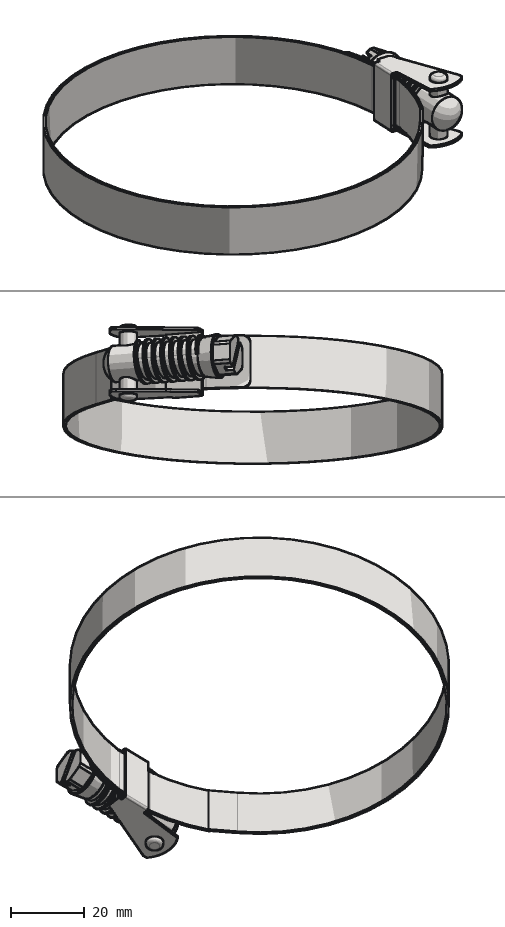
import cadquery as cq
import math


BAND_RADIUS = 51.5
BAND_WIDTH = 14.4
SHEET = 0.7
LAYER_GAP = 0.06
FLAT_DROP = 0.3
RISE_START_ANGLE = 55.0
RISE_END_ANGLE = 63.8
STEP_SPAN = 0.5
TAIL_ANGLE = 110.0
TAIL_CORNER_RADIUS = 2.1
FLAT_END_ANGLE = 90 + math.degrees(math.acos(1 - FLAT_DROP / BAND_RADIUS))
TAIL_RADIUS = BAND_RADIUS + LAYER_GAP + SHEET
INNER_FLAT_BOTTOM = BAND_RADIUS - SHEET - FLAT_DROP
TAIL_FLAT_TOP = TAIL_RADIUS - FLAT_DROP

BRACKET_WIDTH = 17.9
BASE_LENGTH = 8.1
BRIDGE_LENGTH = 10.2
BRIDGE_THICKNESS = 1.0
BASE_BEND_RADIUS = 0.64
ARM_FOOT_Y = 51.6
ARM_SHOULDER_Y = 55.8
ARM_SHOULDER_RADIUS = 1.2
ARM_TOP_START_X = 15.3
ARM_TOP_END_X = 16.6
ARM_TIP_X = 19.0
ARM_TIP_Y = 58.4
ARM_HEEL_X = 17.6
ARM_HEEL_Y = 53.0

SCREW_Y = 58.5
HEAD_START_X = -17.3
HEX_SIDES = 6
HEX_ACROSS_FLATS = 9.7
HEX_CORNER_DIAMETER = 10.7
SLOT_WIDTH = 1.3
SLOT_DEPTH = 2.2
SLOT_ANGLE = 120.0
FLANGE_START_X = -12.4
FLANGE_EDGE_CHAMFER = 0.2
FLANGE_END_X = -8.0
FLANGE_END_RADIUS = 5.3
SHANK_RADIUS = 5.0
SCREW_END_X = 20.9
DOME_RADIUS = 5.8
CREST_RADIUS = 6.0
THREAD_PITCH = 2.5
THREAD_TURNS = 7.2
CREST_WIDTH = 0.6
THREAD_BASE_WIDTH = 0.9
THREAD_EMBED = 0.1
ARM_TOP_Y = SCREW_Y + CREST_RADIUS

PIN_X = 14.0
PIN_RADIUS = 2.4
PIN_SPAN = 20.6
PIN_INNER_Z = 3.5
PIN_HEAD_ROUNDING = 1.0


def polar(radius, degrees):
    angle = math.radians(degrees)
    return (radius * math.cos(angle), radius * math.sin(angle))


def flat_end(radius):
    """Right-hand point where the flat stretch meets the round part of that radius."""
    height = radius - FLAT_DROP
    return (math.sqrt(radius**2 - height**2), height)


def mirrored(point):
    return (-point[0], point[1])


def make_band():
    """Strip outline: inner face from the hidden end to the tail, then the outer face back."""
    outer, inner = BAND_RADIUS, BAND_RADIUS - SHEET
    tail_outer, tail_inner = TAIL_RADIUS, TAIL_RADIUS - SHEET
    hidden_end_x = BASE_LENGTH / 2
    rise_angle = RISE_END_ANGLE - RISE_START_ANGLE
    rise_ratio = 1 / math.cos(math.radians(rise_angle))
    step_outer_angle = RISE_END_ANGLE - STEP_SPAN
    step_ratio = 1 / math.cos(math.radians(rise_angle - STEP_SPAN))
    tail_mid_angle = (TAIL_ANGLE + FLAT_END_ANGLE) / 2
    shoulder_mid_angle = (RISE_END_ANGLE + 90) / 2
    strip = (
        cq.Workplane("XY", origin=(0, 0, -BAND_WIDTH / 2))
        .moveTo(hidden_end_x, inner - FLAT_DROP)
        .lineTo(*mirrored(flat_end(inner)))
        .threePointArc((0, -inner), polar(inner, RISE_START_ANGLE))
        .lineTo(*polar(inner * rise_ratio, RISE_END_ANGLE))
        .lineTo(*polar(tail_inner, RISE_END_ANGLE))
        .threePointArc(polar(tail_inner, shoulder_mid_angle), flat_end(tail_inner))
        .lineTo(*mirrored(flat_end(tail_inner)))
        .threePointArc(polar(tail_inner, tail_mid_angle), polar(tail_inner, TAIL_ANGLE))
        .lineTo(*polar(tail_outer, TAIL_ANGLE))
        .threePointArc(polar(tail_outer, tail_mid_angle), mirrored(flat_end(tail_outer)))
        .lineTo(*flat_end(tail_outer))
        .threePointArc(polar(tail_outer, shoulder_mid_angle), polar(tail_outer, step_outer_angle))
        .lineTo(*polar(outer * step_ratio, step_outer_angle))
        .lineTo(*polar(outer, RISE_START_ANGLE))
        .threePointArc((0, -outer), mirrored(flat_end(outer)))
        .lineTo(hidden_end_x, outer - FLAT_DROP)
        .close()
        .extrude(BAND_WIDTH)
    )
    tail_x, tail_y = polar(tail_inner + SHEET / 2, TAIL_ANGLE)
    for z in (-BAND_WIDTH / 2, BAND_WIDTH / 2):
        tail_corner = cq.selectors.NearestToPointSelector((tail_x, tail_y, z))
        strip = strip.edges(tail_corner).fillet(TAIL_CORNER_RADIUS)
    return strip


def make_arm(bottom_z):
    shoulder = (-BRIDGE_LENGTH / 2, ARM_SHOULDER_Y, bottom_z + SHEET / 2)
    return (
        cq.Workplane("XY", origin=(0, 0, bottom_z))
        .moveTo(-BRIDGE_LENGTH / 2, ARM_FOOT_Y)
        .lineTo(-BRIDGE_LENGTH / 2, ARM_SHOULDER_Y)
        .lineTo(ARM_TOP_START_X, ARM_TOP_Y)
        .lineTo(ARM_TOP_END_X, ARM_TOP_Y)
        .threePointArc((ARM_TIP_X, ARM_TIP_Y), (ARM_HEEL_X, ARM_HEEL_Y))
        .lineTo(BASE_LENGTH / 2, ARM_FOOT_Y)
        .close()
        .extrude(SHEET)
        .edges(cq.selectors.NearestToPointSelector(shoulder))
        .fillet(ARM_SHOULDER_RADIUS)
    )


def make_bracket():
    inside_width = BRACKET_WIDTH - 2 * SHEET
    base_bottom = INNER_FLAT_BOTTOM - SHEET
    channel_height = ARM_FOOT_Y + SHEET - base_bottom
    channel = (
        cq.Workplane("XY")
        .box(BASE_LENGTH, channel_height, BRACKET_WIDTH, centered=(True, False, True))
        .edges("|X and <Y")
        .fillet(BASE_BEND_RADIUS)
        .translate((0, base_bottom, 0))
    )
    channel_inside = (
        cq.Workplane("XY")
        .box(BASE_LENGTH, channel_height, inside_width, centered=(True, False, True))
        .translate((0, INNER_FLAT_BOTTOM, 0))
    )
    bridge = (
        cq.Workplane("XY")
        .box(BRIDGE_LENGTH, BRIDGE_THICKNESS, inside_width, centered=(True, False, True))
        .translate((0, TAIL_FLAT_TOP, 0))
    )
    thread_trough = cylinder_along_x(CREST_RADIUS, -BRIDGE_LENGTH / 2, BRIDGE_LENGTH / 2)
    bracket = channel.cut(channel_inside).union(bridge.cut(thread_trough))
    for bottom_z in (-BRACKET_WIDTH / 2, BRACKET_WIDTH / 2 - SHEET):
        bracket = bracket.union(make_arm(bottom_z))
    pin_holes = (
        cq.Workplane("XY", origin=(PIN_X, SCREW_Y, -BRACKET_WIDTH / 2))
        .circle(PIN_RADIUS)
        .extrude(BRACKET_WIDTH)
    )
    return bracket.cut(pin_holes)


def cylinder_along_x(radius, start_x, end_x):
    return cq.Workplane("YZ", origin=(start_x, SCREW_Y, 0)).circle(radius).extrude(end_x - start_x)


def make_head():
    length = FLANGE_START_X - HEAD_START_X
    corner_to_corner = HEX_ACROSS_FLATS / math.cos(math.pi / HEX_SIDES)
    hexagon = (
        cq.Workplane("YZ", origin=(HEAD_START_X, SCREW_Y, 0))
        .transformed(rotate=(0, 0, 90))
        .polygon(HEX_SIDES, corner_to_corner)
        .extrude(length)
    )
    corner_limit = cylinder_along_x(HEX_CORNER_DIAMETER / 2, HEAD_START_X, FLANGE_START_X)
    slot = (
        cq.Workplane("YZ", origin=(HEAD_START_X, SCREW_Y, 0))
        .transformed(rotate=(0, 0, SLOT_ANGLE))
        .rect(2 * HEX_CORNER_DIAMETER, SLOT_WIDTH)
        .extrude(SLOT_DEPTH)
    )
    return hexagon.intersect(corner_limit).cut(slot)


def make_shank():
    """Flange, shank and domed end as one turned shape."""
    dome_center_x = SCREW_END_X - DOME_RADIUS
    dome_start_x = dome_center_x + math.sqrt(DOME_RADIUS**2 - SHANK_RADIUS**2)
    dome_mid_angle = math.degrees(math.asin(SHANK_RADIUS / DOME_RADIUS)) / 2
    dome_mid = polar(DOME_RADIUS, dome_mid_angle)
    return (
        cq.Workplane("XY", origin=(0, SCREW_Y, 0))
        .moveTo(FLANGE_START_X, 0)
        .lineTo(FLANGE_START_X, CREST_RADIUS - FLANGE_EDGE_CHAMFER)
        .lineTo(FLANGE_START_X + FLANGE_EDGE_CHAMFER, CREST_RADIUS)
        .lineTo(FLANGE_END_X, FLANGE_END_RADIUS)
        .lineTo(FLANGE_END_X, SHANK_RADIUS)
        .lineTo(dome_start_x, SHANK_RADIUS)
        .threePointArc((dome_center_x + dome_mid[0], dome_mid[1]), (SCREW_END_X, 0))
        .close()
        .revolve(360, (0, 0, 0), (1, 0, 0))
    )


def make_thread():
    """Right-hand ridge, swept around Z and then turned so that Z becomes X and X becomes Y."""
    helix = cq.Wire.makeHelix(THREAD_PITCH, THREAD_PITCH * THREAD_TURNS, SHANK_RADIUS)
    base_radius = SHANK_RADIUS - THREAD_EMBED
    ridge = (
        cq.Workplane("XZ")
        .polyline([
            (base_radius, -THREAD_BASE_WIDTH / 2),
            (CREST_RADIUS, -CREST_WIDTH / 2),
            (CREST_RADIUS, CREST_WIDTH / 2),
            (base_radius, THREAD_BASE_WIDTH / 2),
        ])
        .close()
        .sweep(cq.Workplane(helix), isFrenet=True)
    )
    return ridge.rotate((0, 0, 0), (1, 1, 1), 120).translate((FLANGE_END_X, SCREW_Y, 0))


def make_pin(side):
    """Pin on the +Z side for side = 1, on the -Z side for side = -1."""
    pin = (
        cq.Workplane("XY", origin=(PIN_X, SCREW_Y, PIN_INNER_Z))
        .circle(PIN_RADIUS)
        .extrude(PIN_SPAN / 2 - PIN_INNER_Z)
        .faces(">Z")
        .edges()
        .fillet(PIN_HEAD_ROUNDING)
    )
    return pin if side > 0 else pin.mirror("XY")


def make_screw(pins):
    screw = make_shank().union(make_head()).union(make_thread())
    for pin in pins:
        screw = screw.cut(pin)
    return screw


band = make_band()
bracket = make_bracket()
pins = [make_pin(side) for side in (1, -1)]
screw = make_screw(pins)

result = cq.Compound.makeCompound(
    [band.val(), bracket.val(), screw.val(), *[pin.val() for pin in pins]]
)